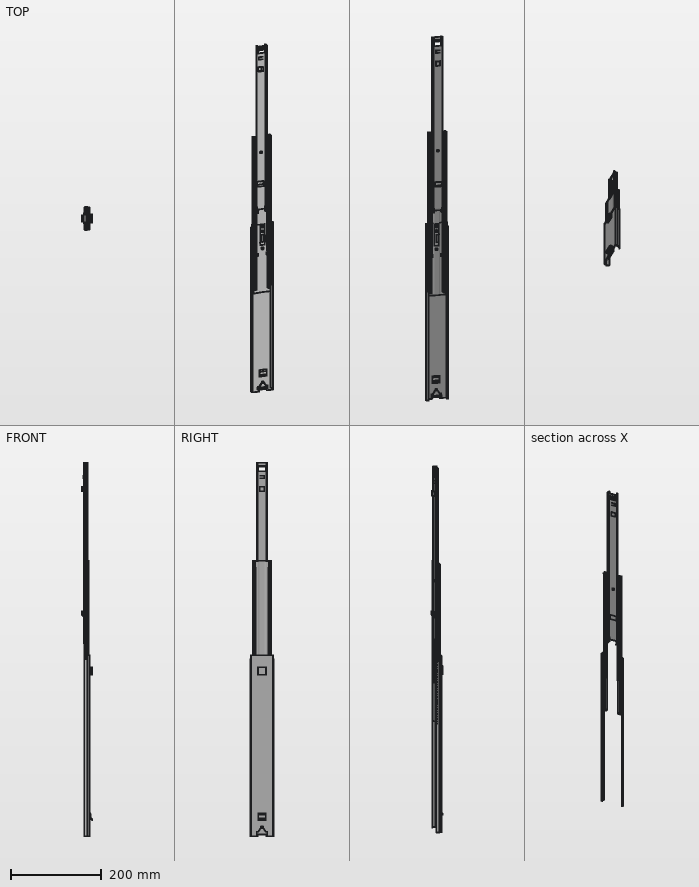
import cadquery as cq
import math


OVERLAP = 0.4

OUTER_LENGTH = 400.0
OUTER_HALF_WIDTH = 26.0
OUTER_WALL_Y = 25.2
OUTER_FRONT_X = -6.2
OUTER_BACK_X = 6.2
OUTER_CORNER = 3.0
SHEET = 1.2
LIP_OUTER_Y = 22.7
LIP_INNER_Y = 21.0
RACE_X = -2.1
RACE_END_X = 1.0
RACE_WALL = 2.0
RACE_TRIM = 9.0

MIDDLE_BOTTOM = 236.0
MIDDLE_TOP = 608.0
MIDDLE_HALF_WIDTH = 21.0
MIDDLE_INNER_Y = 14.0
MIDDLE_FRONT_X = -6.2
MIDDLE_BACK_X = 3.7
CHANNEL_WALL = 2.1
BEAD_HEIGHT = 1.0
BEAD_FLAT_Y = 5.4
BEAD_FOOT_Y = 8.7
LEAD_IN = 15.0
LEAD_IN_STEP = 1.2
CAGE_STOP_TOP = 329.0
CAGE_STOP_LENGTH = 5.0
CAGE_STOP_HEIGHT = 2.0
RECESS_BOTTOM = 349.0
RECESS_TOP = 398.5
RECESS_DEPTH = 0.4
RECESS_HOLES_Z = (341.0, 382.0, 393.0)
RECESS_HOLE_RADIUS = 2.5
LUG_Y_RANGE = (-3.7, 1.2)
BOTTOM_RELIEF = 7.5

INNER_BOTTOM = 426.5
INNER_TOP = 825.0
INNER_HALF_WIDTH = 11.5
INNER_FRONT_X = -7.5
INNER_BACK_X = 1.2
INNER_CORNER_Y = 8.7
INNER_CORNER_RADIUS = 4.0
INNER_CORNER_MID_ANGLE = 33
INNER_SIDE_X = -4.5
INNER_WEB_END = 431.5
INNER_BEVEL = 5.0
INNER_HOLE_Z = 568.0
INNER_HOLE_RADIUS = 2.3
UPPER_HOOK_Z_RANGE = (790.0, 796.0)
UPPER_HOOK_TIP = 8.7
MID_HOOK_Z_RANGE = (761.5, 771.0)

GROOVE_HALF = 1.4
GROOVE_DEPTH = 0.7

CAGE_FRONT_X = RACE_X - GROOVE_HALF
CAGE_BACK_X = RACE_X + GROOVE_HALF
INNER_CAGE_BOTTOM = 332.0
INNER_CAGE_TOP = 593.0
INNER_CAGE_THICKNESS = 1.5
OUTER_CAGE_BOTTOM = 247.5
OUTER_CAGE_TOP = 395.0
OUTER_CAGE_THICKNESS = 2.0

HOOK_TIP = 11.1
BRIDGE_BOTTOM = 356.0
BRIDGE_TOP = 374.0
BRIDGE_HALF_WIDTH = 9.0
REAR_HOOK_TOP = 51.0
REAR_HOOK_BOTTOM = 35.5
REAR_HOOK_HALF_WIDTH = 8.7
REAR_HOOK_OFFSET = 2.5
REAR_HOOK_SHEET = 1.0

STOP_BOTTOM = 4.0
STOP_HALF_WIDTH = 11.5
NOTCH_HALF_WIDTH = 9.0


def block(x_range, y_range, z_range):
    """Box given by its limits along the three axes."""
    (x0, x1), (y0, y1), (z0, z1) = x_range, y_range, z_range
    return cq.Workplane("XY").box(x1 - x0, y1 - y0, z1 - z0, centered=False).translate((x0, y0, z0))


def mirrored(shape):
    """The shape joined with its mirror image across Y = 0."""
    return shape.union(shape.mirror("XZ"))


def prism_along_y(points, half_width):
    """Prism with an XZ outline, centred on Y = 0."""
    return cq.Workplane("XZ").polyline(points).close().extrude(half_width, both=True)


def web_hole(x_range, z, radius):
    """Round cutter along X on the centre line."""
    x0, x1 = x_range
    return cq.Workplane("YZ").center(0, z).circle(radius).extrude(x1 - x0).translate((x0, 0, 0))



def outer_half_profile():
    """Half of the C section: flat web, straight wall and a bulged ball race."""
    inner_wall_y = OUTER_WALL_Y - RACE_WALL
    web_x = OUTER_BACK_X - SHEET
    corner_mid = OUTER_CORNER * (1 - 0.5 ** 0.5)
    return (
        cq.Workplane("XY")
        .moveTo(OUTER_BACK_X, 0)
        .lineTo(OUTER_BACK_X, OUTER_WALL_Y - OUTER_CORNER)
        .threePointArc(
            (OUTER_BACK_X - corner_mid, OUTER_WALL_Y - corner_mid),
            (OUTER_BACK_X - OUTER_CORNER, OUTER_WALL_Y),
        )
        .lineTo(RACE_END_X, OUTER_WALL_Y)
        .threePointArc((RACE_X, OUTER_HALF_WIDTH), (OUTER_FRONT_X, LIP_OUTER_Y))
        .lineTo(OUTER_FRONT_X, LIP_INNER_Y)
        .threePointArc((RACE_X, OUTER_HALF_WIDTH - RACE_WALL), (RACE_END_X, inner_wall_y))
        .lineTo(web_x, inner_wall_y)
        .lineTo(web_x, 0)
        .close()
    )


def bridge_hook():
    """Strip bridging a slot in the web, standing out toward +X."""
    z_range = (BRIDGE_BOTTOM, BRIDGE_TOP)
    span = (-BRIDGE_HALF_WIDTH, BRIDGE_HALF_WIDTH)
    opening = BRIDGE_HALF_WIDTH - SHEET
    bridge = block((OUTER_BACK_X - SHEET, HOOK_TIP), span, z_range)
    return bridge.cut(block((0, HOOK_TIP - SHEET), (-opening, opening), z_range))


def rear_hook():
    """Tab bent out of the web: sloped root, flat part and flared lower lip."""
    root_x = OUTER_BACK_X - REAR_HOOK_SHEET
    flat_x = OUTER_BACK_X + REAR_HOOK_OFFSET - REAR_HOOK_SHEET
    flat_top = 48.0
    flat_bottom = 40.5
    lip_thickness = 2.5
    points = [
        (root_x, REAR_HOOK_TOP),
        (flat_x, flat_top),
        (flat_x, flat_bottom),
        (HOOK_TIP, REAR_HOOK_BOTTOM),
        (HOOK_TIP, REAR_HOOK_BOTTOM + lip_thickness),
        (flat_x + REAR_HOOK_SHEET, flat_bottom),
        (flat_x + REAR_HOOK_SHEET, flat_top),
        (OUTER_BACK_X, REAR_HOOK_TOP + OVERLAP),
        (root_x, REAR_HOOK_TOP + OVERLAP),
    ]
    return prism_along_y(points, REAR_HOOK_HALF_WIDTH)


def make_outer_rail():
    rail = mirrored(outer_half_profile().extrude(OUTER_LENGTH))
    through_web = (RACE_END_X, OUTER_BACK_X + OVERLAP)

    trim = block(
        (OUTER_FRONT_X - OVERLAP, RACE_END_X),
        (MIDDLE_HALF_WIDTH, OUTER_HALF_WIDTH + OVERLAP),
        (OUTER_LENGTH - RACE_TRIM, OUTER_LENGTH),
    )
    rail = rail.cut(mirrored(trim))

    bridge_opening = BRIDGE_HALF_WIDTH - SHEET
    rail = rail.cut(block(through_web, (-bridge_opening, bridge_opening), (BRIDGE_BOTTOM, BRIDGE_TOP)))
    rail = rail.union(bridge_hook())

    hook_side = (-REAR_HOOK_HALF_WIDTH, REAR_HOOK_HALF_WIDTH)
    rail = rail.cut(block(through_web, hook_side, (REAR_HOOK_BOTTOM, REAR_HOOK_TOP)))
    rail = rail.union(rear_hook())

    return rail.cut(block(through_web, (-NOTCH_HALF_WIDTH, NOTCH_HALF_WIDTH), (0, STOP_BOTTOM)))



def middle_half_profile():
    """Half section: beaded web leading into a U-shaped side channel with a ball groove."""
    web_x = MIDDLE_BACK_X - SHEET
    inner_slot_y = MIDDLE_INNER_Y + CHANNEL_WALL
    outer_slot_y = MIDDLE_HALF_WIDTH - CHANNEL_WALL
    return (
        cq.Workplane("XY")
        .moveTo(MIDDLE_BACK_X - BEAD_HEIGHT, 0)
        .lineTo(MIDDLE_BACK_X - BEAD_HEIGHT, BEAD_FLAT_Y)
        .lineTo(MIDDLE_BACK_X, BEAD_FOOT_Y)
        .lineTo(MIDDLE_BACK_X, MIDDLE_HALF_WIDTH)
        .lineTo(RACE_X + GROOVE_HALF, MIDDLE_HALF_WIDTH)
        .threePointArc(
            (RACE_X, MIDDLE_HALF_WIDTH - GROOVE_DEPTH),
            (RACE_X - GROOVE_HALF, MIDDLE_HALF_WIDTH),
        )
        .lineTo(MIDDLE_FRONT_X, MIDDLE_HALF_WIDTH)
        .lineTo(MIDDLE_FRONT_X, outer_slot_y)
        .lineTo(web_x, outer_slot_y)
        .lineTo(web_x, inner_slot_y)
        .lineTo(MIDDLE_FRONT_X, inner_slot_y)
        .lineTo(MIDDLE_FRONT_X, MIDDLE_INNER_Y)
        .lineTo(web_x, MIDDLE_INNER_Y)
        .lineTo(web_x, BEAD_FOOT_Y)
        .lineTo(web_x - BEAD_HEIGHT, BEAD_FLAT_Y)
        .lineTo(web_x - BEAD_HEIGHT, 0)
        .close()
    )


def make_middle_rail():
    web_x = MIDDLE_BACK_X - SHEET
    bead_x = web_x - BEAD_HEIGHT
    through_web = (bead_x - OVERLAP, MIDDLE_BACK_X + OVERLAP)
    rail = mirrored(middle_half_profile().extrude(MIDDLE_TOP - MIDDLE_BOTTOM))
    rail = rail.translate((0, 0, MIDDLE_BOTTOM))

    lead_in = block(
        (MIDDLE_FRONT_X - OVERLAP, web_x),
        (MIDDLE_INNER_Y - OVERLAP, MIDDLE_INNER_Y + LEAD_IN_STEP),
        (MIDDLE_TOP - LEAD_IN, MIDDLE_TOP),
    )
    rail = rail.cut(mirrored(lead_in))

    relief = block(
        (MIDDLE_FRONT_X - OVERLAP, web_x),
        (MIDDLE_INNER_Y - OVERLAP, MIDDLE_HALF_WIDTH + OVERLAP),
        (MIDDLE_BOTTOM, MIDDLE_BOTTOM + BOTTOM_RELIEF),
    )
    rail = rail.cut(mirrored(relief))

    cage_stop = block(
        (web_x - CAGE_STOP_HEIGHT, web_x),
        (BEAD_FOOT_Y + SHEET, MIDDLE_INNER_Y),
        (CAGE_STOP_TOP - CAGE_STOP_LENGTH, CAGE_STOP_TOP),
    )
    rail = rail.union(mirrored(cage_stop))

    recess = block(
        (bead_x - OVERLAP, bead_x + RECESS_DEPTH),
        (-BEAD_FLAT_Y, BEAD_FLAT_Y),
        (RECESS_BOTTOM, RECESS_TOP),
    )
    lug = block((bead_x, bead_x + RECESS_DEPTH), LUG_Y_RANGE, (BRIDGE_BOTTOM, BRIDGE_TOP))
    rail = rail.cut(recess.cut(lug))

    for hole_z in RECESS_HOLES_Z:
        rail = rail.cut(web_hole(through_web, hole_z, RECESS_HOLE_RADIUS))
    return rail



def inner_half_profile():
    """Half of the C section: web toward -X, rounded corner and grooved side wall."""
    web_x = INNER_FRONT_X + SHEET
    wall_y = INNER_HALF_WIDTH - RACE_WALL
    corner_mid = math.radians(INNER_CORNER_MID_ANGLE)
    return (
        cq.Workplane("XY")
        .moveTo(INNER_FRONT_X, 0)
        .lineTo(INNER_FRONT_X, INNER_CORNER_Y)
        .threePointArc(
            (
                INNER_FRONT_X + INNER_CORNER_RADIUS * (1 - math.cos(corner_mid)),
                INNER_CORNER_Y + INNER_CORNER_RADIUS * math.sin(corner_mid),
            ),
            (INNER_SIDE_X, INNER_HALF_WIDTH),
        )
        .lineTo(RACE_X - GROOVE_HALF, INNER_HALF_WIDTH)
        .threePointArc(
            (RACE_X, INNER_HALF_WIDTH - GROOVE_DEPTH),
            (RACE_X + GROOVE_HALF, INNER_HALF_WIDTH),
        )
        .lineTo(INNER_BACK_X, INNER_HALF_WIDTH)
        .lineTo(INNER_BACK_X, wall_y)
        .lineTo(web_x, wall_y)
        .lineTo(web_x, 0)
        .close()
    )


def ramp_hook(reach, ramp_foot_y, ramp_top_y, z_range):
    """Lanced hook on the web's face: a ramp rising along +Y to a flat top."""
    end_y = 5.0
    z0, z1 = z_range
    hook = (
        cq.Workplane("XY")
        .moveTo(INNER_FRONT_X + OVERLAP, ramp_foot_y)
        .lineTo(INNER_FRONT_X, ramp_foot_y)
        .lineTo(-reach, ramp_top_y)
        .lineTo(-reach, end_y)
        .lineTo(INNER_FRONT_X + OVERLAP, end_y)
        .close()
        .extrude(z1 - z0)
    )
    return hook.translate((0, 0, z0))


def lower_hook():
    """Hook with a square top and a sloped underside."""
    top = 497.0
    slope_top = 489.0
    bottom = 485.0
    half_width = 7.5
    root_x = INNER_FRONT_X + OVERLAP
    points = [(root_x, top), (-HOOK_TIP, top), (-HOOK_TIP, slope_top), (root_x, bottom)]
    return prism_along_y(points, half_width)


def top_end(rail):
    """Window below a web end that is stepped back from the web's face."""
    window_bottom = 806.0
    window_top = 816.0
    step_z = 818.0
    back_x = 0.0
    half = INNER_CORNER_Y
    web = (INNER_FRONT_X - OVERLAP, INNER_FRONT_X + SHEET)
    joined = INNER_HALF_WIDTH - RACE_WALL + OVERLAP
    rail = rail.cut(block(web, (-half, half), (window_bottom, window_top)))
    rail = rail.cut(block(web, (-half, half), (step_z, INNER_TOP)))
    rail = rail.union(block((INNER_FRONT_X, back_x), (-half, half), (window_top, step_z)))
    return rail.union(block((back_x - SHEET, back_x), (-joined, joined), (window_top, INNER_TOP)))


def bottom_end(rail):
    """Shorten the web below its side walls and bevel its end."""
    half = INNER_CORNER_Y
    web = (INNER_FRONT_X - OVERLAP, INNER_FRONT_X + SHEET)
    rail = rail.cut(block(web, (-half, half), (INNER_BOTTOM, INNER_WEB_END)))
    bevel = prism_along_y(
        [
            (INNER_FRONT_X, INNER_WEB_END + INNER_BEVEL),
            (INNER_FRONT_X, INNER_WEB_END),
            (INNER_FRONT_X + SHEET / 2, INNER_WEB_END),
        ],
        half,
    )
    return rail.cut(bevel)


def make_inner_rail():
    rail = mirrored(inner_half_profile().extrude(INNER_TOP - INNER_BOTTOM))
    rail = rail.translate((0, 0, INNER_BOTTOM))
    rail = bottom_end(top_end(rail))
    rail = rail.union(ramp_hook(UPPER_HOOK_TIP, -4.0, 1.0, UPPER_HOOK_Z_RANGE))
    rail = rail.union(ramp_hook(HOOK_TIP, -5.0, -2.5, MID_HOOK_Z_RANGE))
    rail = rail.union(lower_hook())
    through_web = (INNER_FRONT_X - OVERLAP, INNER_FRONT_X + SHEET)
    return rail.cut(web_hole(through_web, INNER_HOLE_Z, INNER_HOLE_RADIUS))



def make_cage(side, inner_y, thickness, z_range):
    """Flat cage strip between two races; side is +1 or -1 along Y."""
    y_range = sorted((side * inner_y, side * (inner_y + thickness)))
    return block((CAGE_FRONT_X, CAGE_BACK_X), y_range, z_range)



def make_rear_stop():
    """Stop on the outer rail's web: stepped base, tapering body and round head."""
    web_x = OUTER_BACK_X - SHEET
    body_thickness = 2.0
    base_thickness = 3.0
    base_top = 7.5
    shoulder_z = 11.0
    neck_z = 18.0
    shoulder_y = 8.0
    neck_y = 3.0
    head_z = 20.0
    head_radius = 2.5
    outline = [
        (-STOP_HALF_WIDTH, STOP_BOTTOM),
        (-STOP_HALF_WIDTH, shoulder_z),
        (-shoulder_y, shoulder_z),
        (-neck_y, neck_z),
        (neck_y, neck_z),
        (shoulder_y, shoulder_z),
        (STOP_HALF_WIDTH, shoulder_z),
        (STOP_HALF_WIDTH, STOP_BOTTOM),
    ]
    body = cq.Workplane("YZ").polyline(outline).close().extrude(-body_thickness).translate((web_x, 0, 0))
    head = web_hole((web_x - body_thickness, web_x), head_z, head_radius)
    base = block(
        (web_x - base_thickness, web_x),
        (-STOP_HALF_WIDTH, STOP_HALF_WIDTH),
        (STOP_BOTTOM, base_top),
    )
    return body.union(head).union(base)


outer_rail = make_outer_rail()
middle_rail = make_middle_rail()
inner_rail = make_inner_rail()
rear_stop = make_rear_stop()

cages = []
for side in (1, -1):
    inner_cage = make_cage(
        side,
        MIDDLE_INNER_Y - INNER_CAGE_THICKNESS,
        INNER_CAGE_THICKNESS,
        (INNER_CAGE_BOTTOM, INNER_CAGE_TOP),
    )
    outer_cage = make_cage(
        side,
        MIDDLE_HALF_WIDTH,
        OUTER_CAGE_THICKNESS,
        (OUTER_CAGE_BOTTOM, OUTER_CAGE_TOP),
    )
    cages += [inner_cage.val(), outer_cage.val()]

result = cq.Compound.makeCompound(
    [outer_rail.val(), middle_rail.val(), inner_rail.val(), rear_stop.val(), *cages]
)